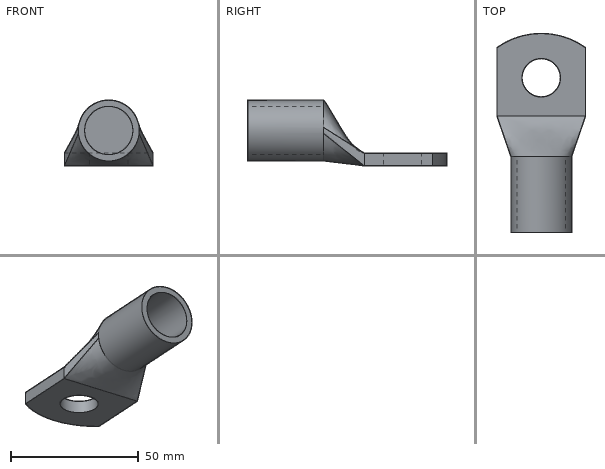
import cadquery as cq
import math

total_length = 78.5
palm_width = 35.0
palm_thickness = 5.0
total_height = 26.0

barrel_diameter = 24.0
bore_diameter = 19.0
barrel_length = 30.0
barrel_radius = barrel_diameter / 2
barrel_axis_z = total_height - barrel_radius

neck_length = 16.0
skin_steps = 16
skin_tolerance = 0.0001
sewing_tolerance = 0.01
side_arc_half_angle = math.radians(5.7)

palm_start_y = barrel_length + neck_length
hole_diameter = 15.0
hole_y = 61.0
tip_rise = 5.65
shoulder_y = total_length - tip_rise
half_width = palm_width / 2


def make_barrel():
    """Solid cylinder along +Y."""
    plane = cq.Workplane("XZ", origin=(0, 0, barrel_axis_z))
    return plane.circle(barrel_radius).extrude(-barrel_length)


def make_palm():
    """Flat tongue with a rounded tip and a bolt hole."""
    palm = (
        cq.Workplane("XY")
        .moveTo(-half_width, palm_start_y)
        .lineTo(half_width, palm_start_y)
        .lineTo(half_width, shoulder_y)
        .threePointArc((0, total_length), (-half_width, shoulder_y))
        .close()
        .extrude(palm_thickness)
    )
    hole = cq.Workplane("XY").center(0, hole_y).circle(hole_diameter / 2).extrude(palm_thickness)
    return palm.cut(hole)


def make_neck_top(arc, line):
    """Top skin: straight along both sides, leaving the palm flat and steepening along the middle."""
    rows = []
    for i in range(skin_steps + 1):
        across = i / skin_steps
        on_arc = arc.positionAt(across)
        on_line = line.positionAt(across)
        hollow = math.sin(math.pi * across)
        row = []
        for j in range(skin_steps + 1):
            along = j / skin_steps
            curved_rise = 2 * along**2 - along**3
            rise = along + hollow * (curved_rise - along)
            point = on_line + (on_arc - on_line) * along
            row.append(cq.Vector(point.x, point.y, on_line.z + (on_arc.z - on_line.z) * rise))
        rows.append(row)
    return cq.Face.makeSplineApprox(rows, tol=skin_tolerance, minDeg=3, maxDeg=8)


def make_neck():
    """Transition from the palm section to the barrel circle: hollowed top, ruled sides and bottom."""
    def on_barrel(angle):
        return cq.Vector(
            barrel_radius * math.cos(angle),
            barrel_length,
            barrel_axis_z + barrel_radius * math.sin(angle),
        )

    def on_palm(side, z):
        return cq.Vector(side * half_width, palm_start_y, z)

    right_angles = (-side_arc_half_angle, side_arc_half_angle)
    left_angles = (math.pi - side_arc_half_angle, math.pi + side_arc_half_angle)
    angles = [*right_angles, *left_angles, right_angles[0] + 2 * math.pi]
    corners = [
        on_palm(1, 0),
        on_palm(1, palm_thickness),
        on_palm(-1, palm_thickness),
        on_palm(-1, 0),
        on_palm(1, 0),
    ]
    top_side = 1
    arcs = []
    lines = []
    sides = []
    for i in range(len(angles) - 1):
        start, end = angles[i], angles[i + 1]
        arc = cq.Edge.makeThreePointArc(on_barrel(start), on_barrel((start + end) / 2), on_barrel(end))
        line = cq.Edge.makeLine(corners[i], corners[i + 1])
        arcs.append(arc)
        lines.append(line)
        if i == top_side:
            sides.append(make_neck_top(arc, line))
        else:
            sides.append(cq.Face.makeRuledSurface(arc, line))
    barrel_end = cq.Face.makeFromWires(cq.Wire.assembleEdges(arcs))
    palm_end = cq.Face.makeFromWires(cq.Wire.assembleEdges(lines))
    shell = cq.occ_impl.shapes.shell([*sides, barrel_end, palm_end], tol=sewing_tolerance)
    return cq.Workplane(cq.Solid.makeSolid(shell))


def make_bore():
    """Blind wire socket as deep as the barrel."""
    plane = cq.Workplane("XZ", origin=(0, 0, barrel_axis_z))
    return plane.circle(bore_diameter / 2).extrude(-barrel_length)


lug = make_barrel().union(make_neck()).union(make_palm()).cut(make_bore())
result = lug.translate((0, -total_length / 2, 0))